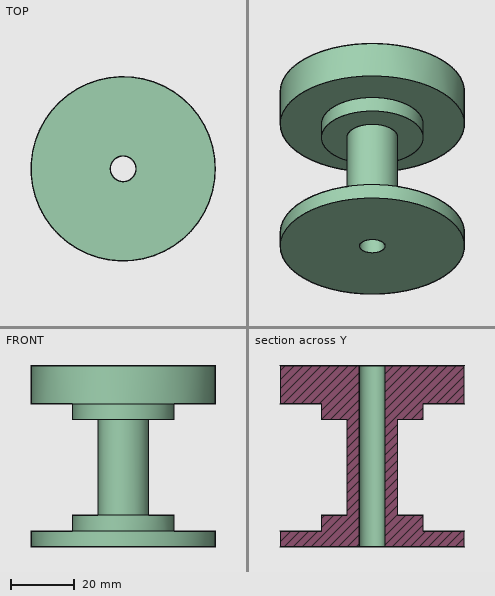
import cadquery as cq

flange_diameter = 58
total_height = 57.0

collar_diameter = 32.0
shaft_diameter = 16.0
bore_diameter = 8.0

base_thickness = 5.0
collar_thickness = 5.0
top_thickness = 12.0
shaft_length = total_height - base_thickness - top_thickness - 2 * collar_thickness

sections = [
    (flange_diameter, base_thickness),
    (collar_diameter, collar_thickness),
    (shaft_diameter, shaft_length),
    (collar_diameter, collar_thickness),
    (flange_diameter, top_thickness),
]


def stack_discs(discs):
    """Join coaxial discs end to end, starting at Z = 0."""
    body = None
    bottom = 0
    for diameter, thickness in discs:
        disc = cq.Workplane("XY").workplane(offset=bottom).circle(diameter / 2).extrude(thickness)
        body = body.union(disc) if body else disc
        bottom += thickness
    return body


bore = cq.Workplane("XY").circle(bore_diameter / 2).extrude(total_height)

result = stack_discs(sections).cut(bore)